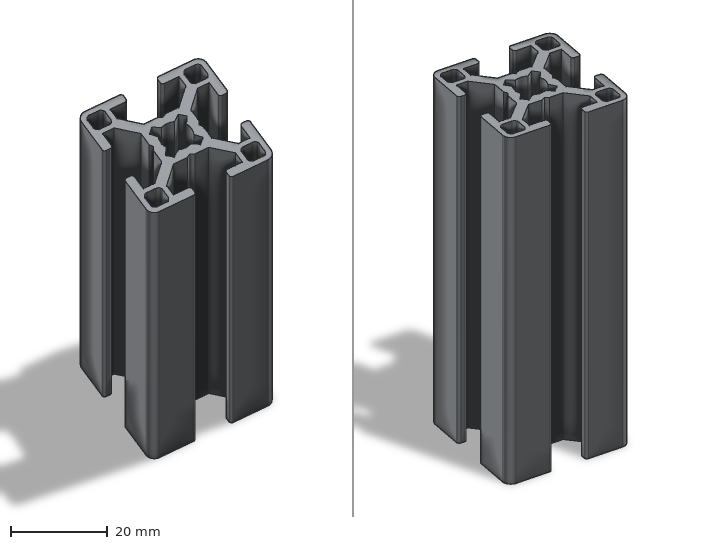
import cadquery as cq
import math

SIDE = 30.0
LENGTH = 85.0
CORNER_RADIUS = 2.0

SLOT_OPENING = 8.2
SLOT_INNER_WIDTH = 16.5
LIP_THICKNESS = 2.2
LIP_RADIUS = 0.65
CORE_WIDTH = 12.0
WEB_THICKNESS = 2.5

GROOVE_WIDTH = 1.8
GROOVE_DEPTH = 0.5

CHAMBER_SIDE = 4.2
CHAMBER_RADIUS = 1.0
CHAMBER_OFFSET = 11.6

BORE_DIAMETER = 7.3
RELIEF_REACH = 5.45
RELIEF_TIP_WIDTH = 1.9
RELIEF_ROOT_WIDTH = 2.45

HALF_SIDE = SIDE / 2
HALF_CORE = CORE_WIDTH / 2
HALF_OPENING = SLOT_OPENING / 2
LIP_INSIDE = HALF_SIDE - LIP_THICKNESS


def quarter_turn_copies(body):
    """Four copies of a body, a quarter turn apart about the Z axis."""
    return [body.rotate((0, 0, 0), (0, 0, 1), 90 * turn) for turn in range(4)]


def outer_bar():
    """Square bar with rounded long edges."""
    return cq.Workplane("XY").rect(SIDE, SIDE).extrude(LENGTH).edges("|Z").fillet(CORNER_RADIUS)


def t_slot():
    """Space of the T-slot on the +X side, including the V-groove in its floor."""
    half_inner = SLOT_INNER_WIDTH / 2
    half_groove = GROOVE_WIDTH / 2
    web_offset = WEB_THICKNESS / math.sqrt(2)
    upper_half = [
        (HALF_CORE, half_groove),
        (HALF_CORE, HALF_CORE - web_offset),
        (half_inner + web_offset, half_inner),
        (LIP_INSIDE, half_inner),
        (LIP_INSIDE, HALF_OPENING),
        (HALF_SIDE, HALF_OPENING),
    ]
    lower_half = [(x, -y) for x, y in reversed(upper_half)]
    groove_bottom = (HALF_CORE - GROOVE_DEPTH, 0)
    outline = [groove_bottom] + upper_half + lower_half
    return cq.Workplane("XY").polyline(outline).close().extrude(LENGTH)


def round_lips(body):
    """Round both edges of every lip end."""
    lip_edges = []
    for across in (-HALF_OPENING, HALF_OPENING):
        for along in (-HALF_SIDE, -LIP_INSIDE, LIP_INSIDE, HALF_SIDE):
            for x, y in ((along, across), (across, along)):
                edge_middle = (x, y, LENGTH / 2)
                lip_edges += body.edges(cq.selectors.NearestToPointSelector(edge_middle)).vals()
    return body.newObject(lip_edges).fillet(LIP_RADIUS)


def corner_chambers():
    """Rounded square chambers running the full length of the four corners."""
    return (
        cq.Workplane("XY")
        .rect(2 * CHAMBER_OFFSET, 2 * CHAMBER_OFFSET, forConstruction=True)
        .vertices()
        .rect(CHAMBER_SIDE, CHAMBER_SIDE)
        .extrude(LENGTH)
        .edges("|Z")
        .fillet(CHAMBER_RADIUS)
    )


def central_bore():
    """Round bore joined with its four diagonal reliefs."""
    half_tip = RELIEF_TIP_WIDTH / 2
    half_root = RELIEF_ROOT_WIDTH / 2
    root_reach = math.sqrt((BORE_DIAMETER / 2)**2 - half_root**2)
    outline = [
        (0, 0),
        (root_reach, half_root),
        (RELIEF_REACH, half_tip),
        (RELIEF_REACH, -half_tip),
        (root_reach, -half_root),
    ]
    relief_along_x = cq.Workplane("XY").polyline(outline).close().extrude(LENGTH)
    corner_relief = relief_along_x.rotate((0, 0, 0), (0, 0, 1), 45)
    bore = cq.Workplane("XY").circle(BORE_DIAMETER / 2).extrude(LENGTH)
    for relief in quarter_turn_copies(corner_relief):
        bore = bore.union(relief)
    return bore


profile = outer_bar()
for slot in quarter_turn_copies(t_slot()):
    profile = profile.cut(slot)
profile = round_lips(profile)
result = profile.cut(corner_chambers()).cut(central_bore())